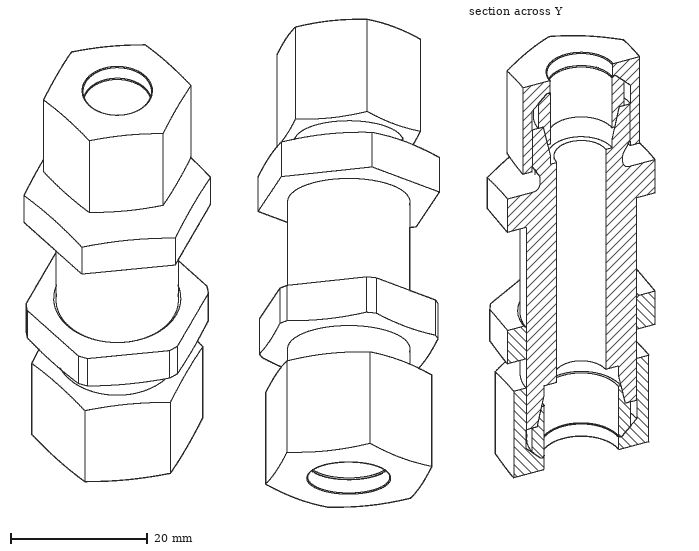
import cadquery as cq
import math


TOTAL_LENGTH = 69.0

THROUGH_BORE = 8.0
FLANGE_FLATS = 24.0
FLANGE_BOTTOM = 43.95
FLANGE_HEIGHT = 6.0
FLANGE_TOP = FLANGE_BOTTOM + FLANGE_HEIGHT
NECK_DIAMETER = 13.6
NECK_FILLET = 1.05
NECK_HEIGHT = 2.2
RUNOUT_RISE = 0.6
RUNOUT_ANGLE = 30.0

TOP_TUBE = 10.0
TOP_THREAD = 16.0
TOP_CONE_MOUTH = 12.3
TOP_NUT_FLATS = 19.0
BOTTOM_TUBE = 12.0
BOTTOM_THREAD = 18.0
BOTTOM_CONE_MOUTH = 14.3
BOTTOM_NUT_FLATS = 22.0
CONE_HALF_ANGLE = 12.0
BODY_INSET = 7.95
SOCKET_DEPTH = 7.0

NUT_HEIGHT = 15.45
LIP_HEIGHT = 2.3
TUBE_CLEARANCE = 0.035
BORE_CHAMFER = 0.15

RING_BACK_WALL = 0.55
RING_CHAMFER = 0.24
RING_COLLAR_STEP = 0.9
RING_NOSE = 3.45

LOCK_NUT_BOTTOM = 20.55
LOCK_NUT_HEIGHT = 6.0
LOCK_NUT_FLATS = FLANGE_FLATS
LOCK_NUT_CORNERS = 26.9
LOCK_NUT_COUNTERSINK = 0.35

BEVEL_ANGLE = 15.0


def hexagon(flats, bottom, height):
    """Hexagonal prism with two flats square to X."""
    prism = cq.Workplane("XY").polygon(6, flats, circumscribed=True).extrude(height)
    return prism.translate((0, 0, bottom))


def revolved(points):
    """Solid of revolution about Z from (radius, height) points."""
    return cq.Workplane("XZ").polyline(points).close().revolve(360, (0, 0), (0, 1))


def bevelled_hexagon(flats, bottom, height, bevel_bottom=True, bevel_top=True):
    """Hexagonal prism with its corners turned off by a shallow cone."""
    flat_radius = flats / 2
    outer_radius = flats / math.sqrt(3) + 0.7
    drop = (outer_radius - flat_radius) * math.tan(math.radians(BEVEL_ANGLE))
    top = bottom + height
    lower_edge = [(outer_radius, bottom)]
    upper_edge = [(outer_radius, top)]
    if bevel_bottom:
        lower_edge = [(flat_radius, bottom), (outer_radius, bottom + drop)]
    if bevel_top:
        upper_edge = [(outer_radius, top - drop), (flat_radius, top)]
    envelope = revolved([(0, bottom), *lower_edge, *upper_edge, (0, top)])
    return hexagon(flats, bottom, height).intersect(envelope)


def make_union_nut(flats, tube, thread):
    back_radius = tube / 2 + RING_BACK_WALL
    thread_radius = thread / 2
    bore_radius = tube / 2 + TUBE_CLEARANCE
    bore = revolved([
        (0, 0),
        (bore_radius + BORE_CHAMFER, 0),
        (bore_radius, BORE_CHAMFER),
        (bore_radius, LIP_HEIGHT),
        (back_radius, LIP_HEIGHT),
        (thread_radius, LIP_HEIGHT + thread_radius - back_radius),
        (thread_radius, NUT_HEIGHT),
        (0, NUT_HEIGHT),
    ])
    return bevelled_hexagon(flats, 0, NUT_HEIGHT).cut(bore)


def make_cutting_ring(tube, cone_mouth):
    tube_radius = tube / 2
    back_radius = tube_radius + RING_BACK_WALL
    mouth_radius = cone_mouth / 2
    collar_radius = mouth_radius + RING_COLLAR_STEP
    tip_radius = mouth_radius - RING_NOSE * math.tan(math.radians(CONE_HALF_ANGLE))
    return revolved([
        (tube_radius, LIP_HEIGHT + RING_CHAMFER),
        (tube_radius + RING_CHAMFER, LIP_HEIGHT),
        (back_radius, LIP_HEIGHT),
        (collar_radius, LIP_HEIGHT + collar_radius - back_radius),
        (collar_radius, BODY_INSET),
        (mouth_radius, BODY_INSET),
        (tip_radius, BODY_INSET + RING_NOSE),
        (tube_radius, BODY_INSET + RING_NOSE),
    ])


def tube_socket(tube, cone_mouth):
    """Space that a tube end and its cutting ring take up in the body."""
    tube_radius = tube / 2
    mouth_radius = cone_mouth / 2
    cone_length = (mouth_radius - tube_radius) / math.tan(math.radians(CONE_HALF_ANGLE))
    return revolved([
        (0, BODY_INSET),
        (mouth_radius, BODY_INSET),
        (tube_radius, BODY_INSET + cone_length),
        (tube_radius, BODY_INSET + SOCKET_DEPTH),
        (0, BODY_INSET + SOCKET_DEPTH),
    ])


def at_top(shape):
    """Turn a tube-end shape over onto the top end of the coupling."""
    return shape.rotate((0, 0, 0), (1, 0, 0), 180).translate((0, 0, TOTAL_LENGTH))


def threaded_neck():
    """Top spigot: thread, run-out cone and waisted neck with a fillet at each end."""
    neck_radius = NECK_DIAMETER / 2
    thread_radius = TOP_THREAD / 2
    root = neck_radius + NECK_FILLET
    waist_bottom = FLANGE_TOP + NECK_FILLET
    waist_top = FLANGE_TOP + NECK_HEIGHT
    diagonal = NECK_FILLET * math.sqrt(0.5)
    sweep = math.asin(RUNOUT_RISE / NECK_FILLET)
    runout_radius = root - NECK_FILLET * math.cos(sweep)
    runout_bottom = waist_top + RUNOUT_RISE
    runout_top = runout_bottom + (thread_radius - runout_radius) / math.tan(math.radians(RUNOUT_ANGLE))
    lower_mid = (root - diagonal, waist_bottom - diagonal)
    upper_mid = (root - NECK_FILLET * math.cos(sweep / 2), waist_top + NECK_FILLET * math.sin(sweep / 2))
    end = TOTAL_LENGTH - BODY_INSET
    outline = (
        cq.Workplane("XZ")
        .moveTo(0, FLANGE_TOP)
        .lineTo(root, FLANGE_TOP)
        .threePointArc(lower_mid, (neck_radius, waist_bottom))
        .lineTo(neck_radius, waist_top)
        .threePointArc(upper_mid, (runout_radius, runout_bottom))
        .lineTo(thread_radius, runout_top)
        .lineTo(thread_radius, end)
        .lineTo(0, end)
        .close()
    )
    return outline.revolve(360, (0, 0), (0, 1))


def make_body():
    barrel_length = FLANGE_BOTTOM - BODY_INSET
    barrel = cq.Workplane("XY").workplane(offset=BODY_INSET).circle(BOTTOM_THREAD / 2).extrude(barrel_length)
    flange = bevelled_hexagon(FLANGE_FLATS, FLANGE_BOTTOM, FLANGE_HEIGHT, bevel_bottom=False)
    bore = cq.Workplane("XY").circle(THROUGH_BORE / 2).extrude(TOTAL_LENGTH)
    return (
        barrel.union(flange)
        .union(threaded_neck())
        .cut(bore)
        .cut(tube_socket(BOTTOM_TUBE, BOTTOM_CONE_MOUTH))
        .cut(at_top(tube_socket(TOP_TUBE, TOP_CONE_MOUTH)))
    )


def make_lock_nut():
    top = LOCK_NUT_BOTTOM + LOCK_NUT_HEIGHT
    thread_radius = BOTTOM_THREAD / 2
    nut = bevelled_hexagon(LOCK_NUT_FLATS, LOCK_NUT_BOTTOM, LOCK_NUT_HEIGHT, bevel_top=False)
    turned = cq.Workplane("XY").circle(LOCK_NUT_CORNERS / 2).extrude(top)
    bore = revolved([
        (0, LOCK_NUT_BOTTOM),
        (thread_radius, LOCK_NUT_BOTTOM),
        (thread_radius, top - LOCK_NUT_COUNTERSINK),
        (thread_radius + LOCK_NUT_COUNTERSINK, top),
        (0, top),
    ])
    return nut.intersect(turned).cut(bore)


body = make_body()
lock_nut = make_lock_nut()
top_nut = at_top(make_union_nut(TOP_NUT_FLATS, TOP_TUBE, TOP_THREAD))
bottom_nut = make_union_nut(BOTTOM_NUT_FLATS, BOTTOM_TUBE, BOTTOM_THREAD)
top_ring = at_top(make_cutting_ring(TOP_TUBE, TOP_CONE_MOUTH))
bottom_ring = make_cutting_ring(BOTTOM_TUBE, BOTTOM_CONE_MOUTH)

result = cq.Compound.makeCompound([
    body.val(),
    lock_nut.val(),
    top_nut.val(),
    bottom_nut.val(),
    top_ring.val(),
    bottom_ring.val(),
])